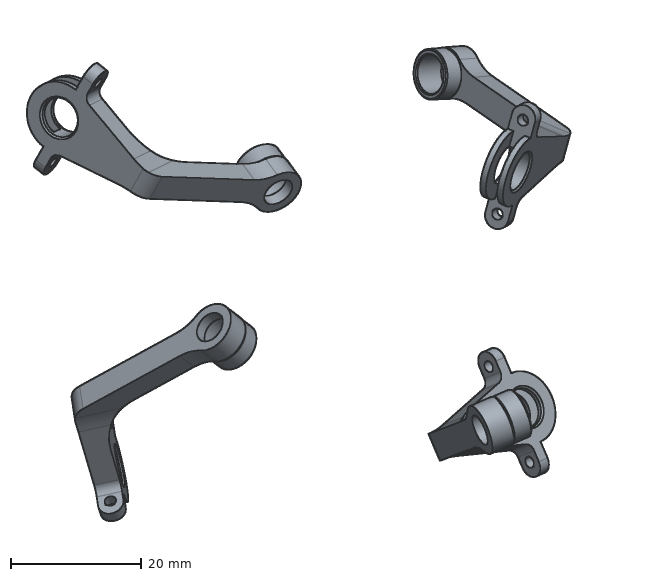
import cadquery as cq
import math

ARM_TILT = 30.0

PLATE_THICKNESS = 4.0
HUB_RADIUS = 5.73
HUB_BORE_RADIUS = 3.1
HUB_BORE_CHAMFER = 0.3
SLOT_WIDTH = PLATE_THICKNESS / 2
LUG_FACE = 0.05
LUG_THICKNESS = 2.0
LUG_HOLE_HEIGHT = 8.0
LUG_HOLE_RADIUS = 0.9
LUG_REACH = 10.4
LUG_ROOT_FILLET = 1.5

ARM_WIDTH = 4.5
ARM_THICKNESS = 3.78
ARM_BEND = 65.5
BEND_CORNER = 17.75
BEND_OUTER_RADIUS = 3.0
BEND_INNER_RADIUS = 10.0
TAPER_END = 15.25
TAPER_BLEND_RADIUS = 13.25

EYE_DISTANCE = 26.58
EYE_RADIUS = 4.0
EYE_LENGTH = 7.0
EYE_HOLE_RADIUS = 2.45
NECK_RADIUS = 7.5
SLEEVE_RADIUS = 3.95
SLEEVE_CHAMFER = 0.2
SLEEVE_BORE_RADIUS = 3.0
SLEEVE_BORE_DEPTH = 5.0
SLEEVE_BORE_CHAMFER = 0.2

HALF_WIDTH = ARM_WIDTH / 2
BEND = math.radians(ARM_BEND)
EYE_X = BEND_CORNER + EYE_DISTANCE * math.cos(BEND)
EYE_Y = EYE_DISTANCE * math.sin(BEND)

EYE_FACE = cq.Plane(
    origin=(EYE_X, EYE_Y, 0),
    xDir=(math.cos(BEND), math.sin(BEND), 0),
    normal=(math.sin(BEND), -math.cos(BEND), 0),
)


def near_line(plane, first, second):
    """Selector for the edge normal to a plane at the given coordinates in it."""
    margin = 0.15
    span = 2 * EYE_Y + margin
    if plane == "XZ":
        middle = (first, 0, second)
        half_size = (margin, span, margin)
    else:
        middle = (first, second, 0)
        half_size = (margin, margin, span)
    low = tuple(m - h for m, h in zip(middle, half_size))
    high = tuple(m + h for m, h in zip(middle, half_size))
    return cq.selectors.BoxSelector(low, high, boundingbox=True)


def y_cylinder(radius):
    return cq.Workplane("XZ").circle(radius).extrude(-PLATE_THICKNESS)


def tapered_outline():
    """Hub disc, lugs and arm seen along the hub axis, as a prism long enough for the bend."""
    taper = math.asin(HUB_RADIUS / math.hypot(TAPER_END, HALF_WIDTH))
    taper -= math.atan2(HALF_WIDTH, TAPER_END)
    lug_back = LUG_FACE + LUG_THICKNESS
    lug_root = HUB_RADIUS / math.cos(taper) - lug_back * math.tan(taper)
    upper = [
        (LUG_FACE, LUG_REACH),
        (lug_back, LUG_REACH),
        (lug_back, lug_root),
        (TAPER_END, HALF_WIDTH),
        (EYE_X, HALF_WIDTH),
    ]
    lower = [(x, -z) for x, z in reversed(upper)]
    prism = cq.Workplane("XZ").polyline(upper + lower).close().extrude(-2 * EYE_Y)

    for side in (1, -1):
        prism = prism.edges(near_line("XZ", lug_back, side * lug_root)).fillet(LUG_ROOT_FILLET)
        prism = prism.edges(near_line("XZ", TAPER_END, side * HALF_WIDTH)).fillet(TAPER_BLEND_RADIUS)
    return prism


def bent_profile():
    """Side profile of the plate bending into the arm, as a prism across the lugs."""
    back_x = EYE_X - ARM_THICKNESS * math.sin(BEND)
    back_y = EYE_Y + ARM_THICKNESS * math.cos(BEND)
    inner_x = back_x - (back_y - PLATE_THICKNESS) / math.tan(BEND)
    points = [
        (LUG_FACE, 0),
        (BEND_CORNER, 0),
        (EYE_X, EYE_Y),
        (back_x, back_y),
        (inner_x, PLATE_THICKNESS),
        (LUG_FACE, PLATE_THICKNESS),
    ]
    prism = cq.Workplane("XY").polyline(points).close().extrude(LUG_REACH, both=True)

    prism = prism.edges(near_line("XY", BEND_CORNER, 0)).fillet(BEND_OUTER_RADIUS)
    return prism.edges(near_line("XY", inner_x, PLATE_THICKNESS)).fillet(BEND_INNER_RADIUS)


def lug_limits():
    """Rounded envelope of the lug ends, with the arm passing through it."""
    lugs = (
        cq.Workplane("YZ", origin=(LUG_FACE, PLATE_THICKNESS / 2, 0))
        .slot2D(2 * LUG_REACH, PLATE_THICKNESS, 90)
        .extrude(LUG_THICKNESS)
    )
    arm = cq.Workplane("XY").box(EYE_X, 2 * EYE_Y, 2 * LUG_HOLE_HEIGHT, centered=(False, True, True))
    return lugs.union(arm.translate((LUG_FACE, EYE_Y, 0)))


def eye():
    """Round arm end whose neck flares from the arm with concave arcs."""
    neck_z = HALF_WIDTH + NECK_RADIUS
    neck_s = -math.sqrt((EYE_RADIUS + NECK_RADIUS) ** 2 - neck_z**2)
    share = EYE_RADIUS / (EYE_RADIUS + NECK_RADIUS)
    touch = (neck_s * share, neck_z * share)
    towards = math.atan2(-neck_z, -neck_s)
    middle_angle = (towards - math.pi / 2) / 2
    middle = (
        neck_s + NECK_RADIUS * math.cos(middle_angle),
        neck_z + NECK_RADIUS * math.sin(middle_angle),
    )
    return (
        cq.Workplane(EYE_FACE)
        .moveTo(neck_s, -HALF_WIDTH)
        .threePointArc((middle[0], -middle[1]), (touch[0], -touch[1]))
        .threePointArc((EYE_RADIUS, 0), touch)
        .threePointArc(middle, (neck_s, HALF_WIDTH))
        .close()
        .extrude(-ARM_THICKNESS)
    )


def sleeve():
    return (
        cq.Workplane(EYE_FACE)
        .workplane(offset=-EYE_LENGTH)
        .circle(SLEEVE_RADIUS)
        .extrude(EYE_LENGTH - ARM_THICKNESS)
        .edges()
        .chamfer(SLEEVE_CHAMFER)
    )


def eye_bore():
    through = cq.Workplane(EYE_FACE).circle(EYE_HOLE_RADIUS).extrude(-EYE_LENGTH)
    mouth = cq.Workplane(EYE_FACE).workplane(offset=-EYE_LENGTH)
    counterbore = mouth.circle(SLEEVE_BORE_RADIUS).extrude(SLEEVE_BORE_DEPTH)
    cone = cq.Solid.makeCone(
        SLEEVE_BORE_RADIUS + SLEEVE_BORE_CHAMFER,
        SLEEVE_BORE_RADIUS,
        SLEEVE_BORE_CHAMFER,
        mouth.plane.origin,
        EYE_FACE.zDir,
    )
    return through.union(counterbore).union(cq.Workplane(cone))


def hub_slot():
    depth = HUB_RADIUS + LUG_FACE
    slot = cq.Workplane("XY").box(depth, SLOT_WIDTH, 2 * HUB_RADIUS, centered=(False, True, True))
    return slot.translate((-HUB_RADIUS, PLATE_THICKNESS / 2, 0))


def hub_bore():
    rim = HUB_BORE_RADIUS + HUB_BORE_CHAMFER
    bore = y_cylinder(HUB_BORE_RADIUS)
    for y, direction in ((0, 1), (PLATE_THICKNESS, -1)):
        cone = cq.Solid.makeCone(
            rim, HUB_BORE_RADIUS, HUB_BORE_CHAMFER, cq.Vector(0, y, 0), cq.Vector(0, direction, 0)
        )
        bore = bore.union(cq.Workplane(cone))
    return bore


def lug_holes():
    return (
        cq.Workplane("YZ", origin=(LUG_FACE, PLATE_THICKNESS / 2, 0))
        .pushPoints([(0, LUG_HOLE_HEIGHT), (0, -LUG_HOLE_HEIGHT)])
        .circle(LUG_HOLE_RADIUS)
        .extrude(LUG_THICKNESS)
    )


body = bent_profile().intersect(tapered_outline()).intersect(lug_limits())
body = body.union(y_cylinder(HUB_RADIUS)).union(eye()).union(sleeve())
body = body.cut(hub_slot()).cut(hub_bore()).cut(lug_holes()).cut(eye_bore())
result = body.rotate((0, 0, 0), (0, 1, 0), ARM_TILT)